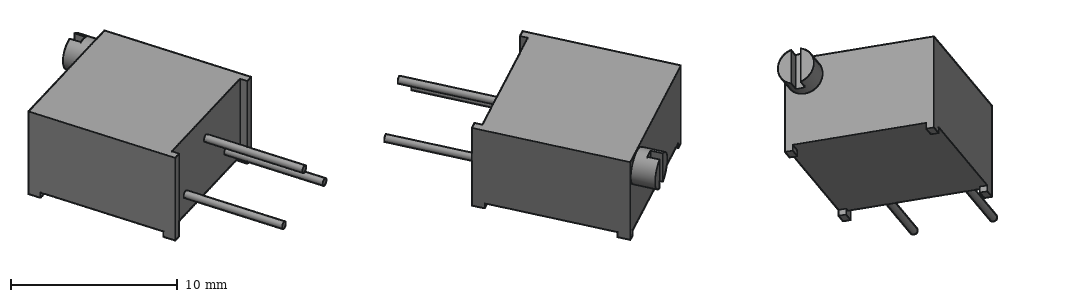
import cadquery as cq

total_length = 17.78
body_width = 9.53
body_height = 6.1
body_length = 10.03
screw_length = 1.53
body_end = screw_length + body_length

foot_height = 0.4
foot_length = 0.82
rail_width = 0.5
rail_depth = 0.5
inner_width = body_width - 2 * rail_width

screw_diameter = 2.31
screw_inset = 1.26
screw_y = body_width / 2 - screw_inset
screw_z = body_height - screw_inset
slot_width = 0.6
slot_depth = 0.76

pin_diameter = 0.5
pin_pitch = 2.55
lower_pin_z = 1.87
pin_positions = [
    (-pin_pitch, lower_pin_z),
    (0, lower_pin_z + pin_pitch),
    (pin_pitch, lower_pin_z),
]


def box(x_start, length, width, z_start, height, y=0):
    """Box centred on y, growing along +X and +Z from its start."""
    return cq.Workplane("XY").box(length, width, height, centered=(False, True, False)).translate(
        (x_start, y, z_start)
    )


def rod(x_start, length, diameter, y, z):
    """Cylinder growing along +X."""
    return cq.Workplane("YZ", origin=(x_start, y, z)).circle(diameter / 2).extrude(length)


def make_body():
    body = box(screw_length, body_length, body_width, 0, body_height)
    cross_channel = box(
        screw_length + foot_length, body_length - 2 * foot_length, body_width, 0, foot_height
    )
    long_channel = box(screw_length, body_length, inner_width, 0, foot_height)
    end_recess = box(body_end - rail_depth, rail_depth, inner_width, 0, body_height)
    return body.cut(cross_channel).cut(long_channel).cut(end_recess)


def make_screw():
    head = rod(0, screw_length, screw_diameter, screw_y, screw_z)
    slot = box(0, slot_depth, slot_width, screw_z - screw_diameter / 2, screw_diameter, screw_y)
    return head.cut(slot)


result = make_body().union(make_screw())
pin_start = body_end - rail_depth
for pin_y, pin_z in pin_positions:
    result = result.union(rod(pin_start, total_length - pin_start, pin_diameter, pin_y, pin_z))